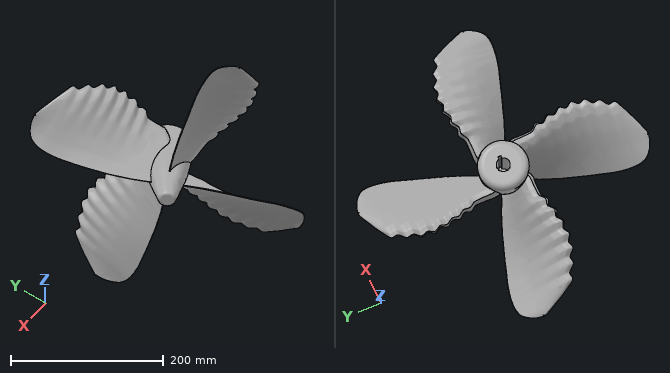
import cadquery as cq
import math

hub_height = 123.25
hub_top_flat_radius = 24.5
hub_shoulder_radius = 34.0
hub_shoulder_depth = 12.0
hub_belly_radius = 31.5
hub_belly_depth = 42.0
hub_waist_radius = 21.3
hub_waist_depth = 89.0
hub_tail_radius = 12.0
hub_tail_depth = 120.5
hub_tail_flat_radius = 8.5
hub_tail_rounding = (10.8, 1.1)

bore_radius = 9.2
bore_depth = 75.0
key_width = 4.0
key_reach = 12.2

blade_count = 4
tip_radius = 196.36
root_station = 16.0
joint_station = 44.0
joint_blend = 1.0
joint_tolerance = 0.001
root_stations = [root_station, 20, 24, 34, joint_station - joint_blend, joint_station]
joint_stations = [joint_station, joint_station + joint_blend, 49]
tip_stations = [184, 188, 191.5, 194.5, tip_radius]

leading_edge = [
    (root_station, 22, 24),
    (24, 26, 17),
    (52, 27.5, 15),
    (70, 32, 11.5),
    (88, 36.2, 11),
    (108, 39, 13.5),
    (126, 38.5, 18.5),
    (144, 33, 25.5),
    (162, 24.5, 33),
    (174, 18, 37.5),
    (181, 9.5, 43),
    (186, -1, 48.5),
    (190, -10, 52.5),
    (194, -19, 57.5),
    (tip_radius, -25, 60),
]
trailing_edge = [
    (root_station, -9, 89),
    (34, -17.5, 89),
    (60, -28.5, 89),
    (100, -42, 87.5),
    (140, -54.5, 83),
    (165, -58, 78.5),
    (180, -55.5, 73),
    (188, -48.5, 69),
    (194, -38, 65.5),
    (tip_radius, -29, 62),
]

trailing_thickness = 1.2
root_thickness = 17.5
tip_thickness = 3.0
thinning = 3.5
underside_fullness = 1.35

bump_count = 7
bump_pitch = 18.2
first_bump = 62.0
bump_height = 5.5
bump_swell = 0.25
bump_fade = 2
stations_per_bump = 4

tail_sharpness = 1.6
fullest_at = 0.5 / (0.5 + tail_sharpness)
fullest_shape = math.sqrt(fullest_at) * (1 - fullest_at) ** tail_sharpness
section_points = 7


def edge_point(stations, x):
    """Smooth curve through the edge stations, evaluated at radial distance x."""
    last = len(stations) - 1
    i = 0
    while i < last - 1 and x > stations[i + 1][0]:
        i += 1

    def slope(k, axis):
        before = stations[max(k - 1, 0)]
        after = stations[min(k + 1, last)]
        return (after[axis] - before[axis]) / (after[0] - before[0])

    start, end = stations[i], stations[i + 1]
    span = end[0] - start[0]
    u = (x - start[0]) / span
    values = []
    for axis in (1, 2):
        values.append(
            (2 * u**3 - 3 * u**2 + 1) * start[axis]
            + (3 * u**2 - 2 * u**3) * end[axis]
            + (u**3 - 2 * u**2 + u) * span * slope(i, axis)
            + (u**3 - u**2) * span * slope(i + 1, axis)
        )
    return values[0], hub_height - values[1]


def bump(x):
    """Forward reach of the bumps at radial distance x."""
    turns = (x - first_bump) / bump_pitch
    if not -0.5 <= turns <= bump_count - 0.5:
        return 0.0
    return bump_height * (1 + math.cos(2 * math.pi * turns)) / 2


def half_thickness(s, thickness):
    """Aerofoil half thickness at fraction s of the chord behind the leading edge."""
    shape = math.sqrt(s) * (1 - s) ** tail_sharpness
    return thickness / 2 * shape / fullest_shape + s * trailing_thickness / 2


def blade_section(x):
    """Closed section of the blade that points along +X, in the plane at distance x."""
    lead_y, lead_z = edge_point(leading_edge, x)
    trail_y, trail_z = edge_point(trailing_edge, x)
    chord = math.hypot(lead_y - trail_y, lead_z - trail_z)
    along = ((lead_y - trail_y) / chord, (lead_z - trail_z) / chord)
    outward = (x - root_station) / (tip_radius - root_station)
    thickness = root_thickness + (tip_thickness - root_thickness) * outward**thinning

    def surface(side):
        """Points from leading to trailing edge, upper for side 1 and lower for side -1."""
        points = []
        for i in range(section_points + 1):
            s = (1 - math.cos(math.pi * i / section_points)) / 2
            fade = (1 - s) ** bump_fade
            forward = chord * (1 - s) + bump(x) * fade
            swell = 1 + bump_swell * fade * bump(x) / bump_height
            normal = side * swell * half_thickness(s, thickness)
            if side < 0:
                normal *= underside_fullness
            points.append(
                cq.Vector(
                    x,
                    trail_y + forward * along[0] - normal * along[1],
                    trail_z + forward * along[1] + normal * along[0],
                )
            )
        return points

    upper = surface(1)
    lower = surface(-1)
    return cq.Wire.assembleEdges(
        [
            cq.Edge.makeSpline(upper),
            cq.Edge.makeLine(upper[-1], lower[-1]),
            cq.Edge.makeSpline(lower[::-1]),
        ]
    )


def root_piece():
    """Inner end of a blade, from inside the hub out to the joint."""
    return loft_through(root_stations)


def bumpy_piece():
    """Outer part of a blade, from the joint to the tip."""
    step = bump_pitch / stations_per_bump
    start = first_bump - bump_pitch / 2
    bumped = [start + i * step for i in range(bump_count * stations_per_bump + 1)]
    return loft_through(joint_stations + bumped + tip_stations)


def loft_through(stations):
    return cq.Solid.makeLoft([blade_section(x) for x in stations])


def around_hub(piece):
    step = 360 / blade_count
    return [piece.rotate((0, 0, 0), (0, 0, 1), i * step) for i in range(blade_count)]


def faces_off_joint(solid):
    """All faces of a solid except the flat ones where the two blade pieces meet."""
    kept = []
    for face in solid.Faces():
        center = face.Center()
        reach = max(abs(center.x), abs(center.y))
        if abs(reach - joint_station) > joint_tolerance or face.geomType() != "PLANE":
            kept.append(face)
    return kept


def hub():
    top = hub_height
    shoulder = (hub_shoulder_radius, top - hub_shoulder_depth)
    belly = (hub_belly_radius, top - hub_belly_depth)
    waist = (hub_waist_radius, top - hub_waist_depth)
    tail = (hub_tail_radius, top - hub_tail_depth)
    profile = (
        cq.Workplane("XZ")
        .moveTo(0, top)
        .lineTo(hub_top_flat_radius, top)
        .tangentArcPoint(shoulder, relative=False)
        .spline([belly, waist, tail], includeCurrent=True)
        .threePointArc(hub_tail_rounding, (hub_tail_flat_radius, 0))
        .lineTo(0, 0)
        .close()
    )
    return profile.revolve(360, (0, 0, 0), (0, 1, 0)).val()


def keyed_bore():
    top_plane = cq.Workplane("XY", origin=(0, 0, hub_height))
    bore = top_plane.circle(bore_radius).extrude(-bore_depth)
    key = top_plane.center(key_reach / 2, 0).rect(key_reach, key_width).extrude(-bore_depth)
    return bore.union(key).val()


core = hub().fuse(*around_hub(root_piece())).cut(keyed_bore())
skin = faces_off_joint(core)
for outer_blade in around_hub(bumpy_piece()):
    skin += faces_off_joint(outer_blade)
result = cq.Workplane(cq.Solid.makeSolid(cq.Shell.makeShell(skin)))